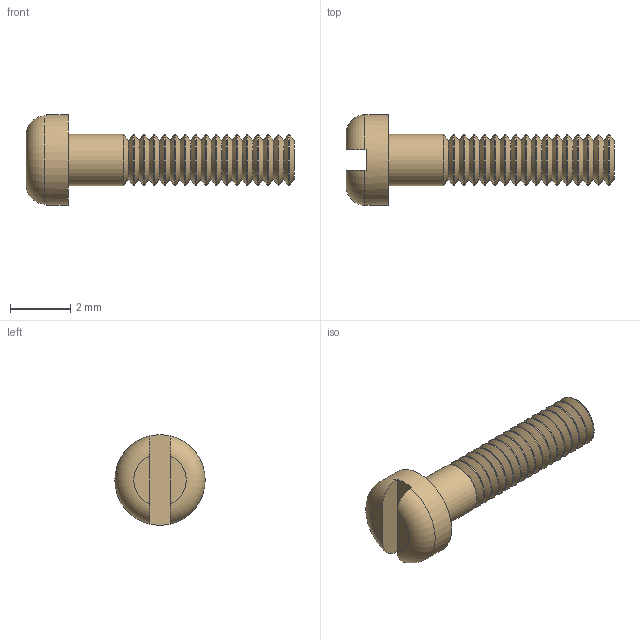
import cadquery as cq

total_length = 8.9
head_diameter = 3.0
head_height = 1.4
head_round_radius = 0.63

slot_width = 0.67
slot_depth = 0.69

thread_diameter = 1.7
thread_root_diameter = 1.27
ridge_count = 16
thread_pitch = 0.3436
crest_width = 0.03

half_pitch = thread_pitch / 2
thread_length = ridge_count * thread_pitch + half_pitch
thread_start = total_length - thread_length

head_radius = head_diameter / 2
thread_radius = thread_diameter / 2
root_radius = thread_root_diameter / 2


def make_head():
    """Cylindrical head with its outer front edge rounded."""
    head = cq.Workplane("YZ").circle(head_radius).extrude(head_height)
    return head.faces("<X").edges().fillet(head_round_radius)


def make_shank():
    """Plain shank and thread ridges, revolved about X as one profile."""
    profile = (
        cq.Workplane("XY")
        .moveTo(head_height, 0)
        .lineTo(head_height, thread_radius)
        .lineTo(thread_start, thread_radius)
    )
    for ridge in range(1, ridge_count + 1):
        crest_x = thread_start + ridge * thread_pitch
        profile = profile.lineTo(crest_x - half_pitch, root_radius)
        profile = profile.lineTo(crest_x - crest_width / 2, thread_radius)
        profile = profile.lineTo(crest_x + crest_width / 2, thread_radius)
    profile = profile.lineTo(total_length, root_radius).lineTo(total_length, 0).close()
    return profile.revolve(360, (0, 0, 0), (1, 0, 0))


def make_slot():
    """Cutting block for the slot, open at both sides of the head."""
    return cq.Workplane("XY").box(
        slot_depth, slot_width, head_diameter, centered=(False, True, True)
    )


result = make_head().union(make_shank()).cut(make_slot())